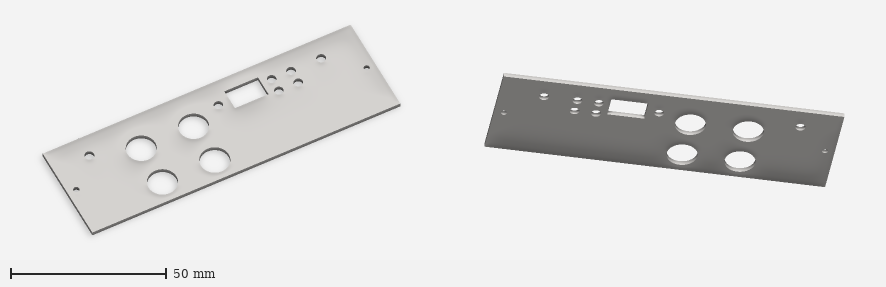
import cadquery as cq

WIDTH = 35.0
LENGTH = 111.5
THICKNESS = 1.6

MOUNT_DIAMETER = 2.0
MOUNT_SPACING = 105.1

CONTROL_DIAMETER = 10
CONTROL_COLUMNS = (-4.9, 10)
CONTROL_ROWS = (-7.6, -26.5)

SMALL_DIAMETER = 3.1
OUTER_DIAMETER = 3.2
SMALL_COLUMNS = (-10, -4.9)
SMALL_ROWS = (30.3, 23.3)
LOWER_SMALL_HOLE = (-8.7, 3.3)
OUTER_ROWS = (41.3, -42.7)

WINDOW_WIDTH = 7.5
WINDOW_LENGTH = 12.2
WINDOW_CENTER = (-8.9, 13.6)


def grid(columns, rows):
    return [(x, y) for x in columns for y in rows]


def drill(panel, centers, diameter):
    """Cut round through holes at the given centres."""
    cutter = cq.Workplane("XY").pushPoints(centers).circle(diameter / 2).extrude(THICKNESS)
    return panel.cut(cutter)


panel = cq.Workplane("XY").rect(WIDTH, LENGTH).extrude(THICKNESS)

panel = drill(panel, grid([0], [MOUNT_SPACING / 2, -MOUNT_SPACING / 2]), MOUNT_DIAMETER)
panel = drill(panel, grid(CONTROL_COLUMNS, CONTROL_ROWS), CONTROL_DIAMETER)
panel = drill(panel, grid(SMALL_COLUMNS, SMALL_ROWS) + [LOWER_SMALL_HOLE], SMALL_DIAMETER)
panel = drill(panel, grid(SMALL_COLUMNS[:1], OUTER_ROWS), OUTER_DIAMETER)

window = cq.Workplane("XY").center(*WINDOW_CENTER).rect(WINDOW_WIDTH, WINDOW_LENGTH).extrude(THICKNESS)
result = panel.cut(window)